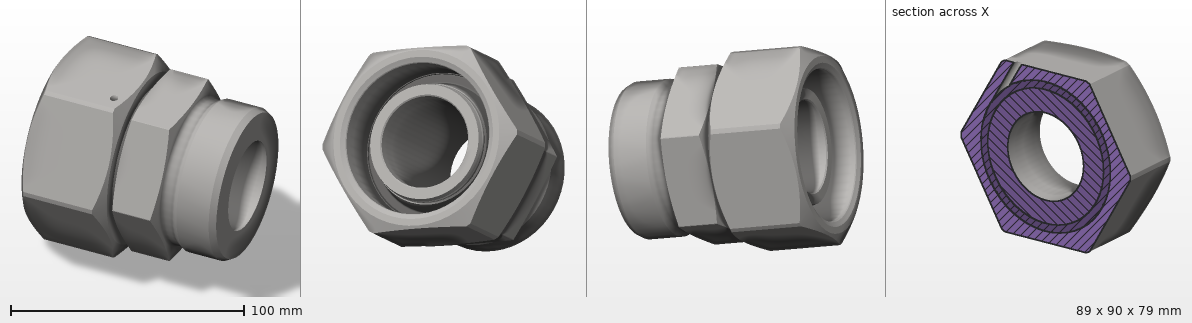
import cadquery as cq
import math

nut_length = 40.1
nut_across_flats = 79.0
nut_corner_diameter = 90.0
nut_face_radius = 38.3
nut_chamfer_angle = 30.0

mouth_radius = 35.4
mouth_mid_radius = 34.3
mouth_inner_radius = 33.3
mouth_mid_depth = 0.6
mouth_inner_depth = 1.2
thread_start_depth = 1.6
thread_radius = 66.0 / 2
swivel_bore_radius = 65.25 / 2

wire_diameter = 3.3
wire_x = 32.9
wire_hole_mouth_diameter = 3.5
wire_hole_mouth_depth = 1.2
wire_hole_tilt = 30.0

bore_radius = 40.0 / 2
bore_chamfer = 0.5
nose_x = 9.2
nose_radius = 50.1 / 2
cone_half_angle = 12.0

collar_x = 25.4
collar_radius = 64.9 / 2
collar_chamfer = 0.45
cone_root_radius = 0.7

hex_start_x = 41.85
hex_end_x = 63.2
hex_across_flats = 70.0
hex_corner_diameter = 80.6
hex_face_radius = 33.75
hex_chamfer_angle = 15.0

neck_radius = 65.0 / 2
neck_fillet_end_x = 64.6
undercut_end_x = 67.9
undercut_cone_x = 68.5
undercut_cone_radius = 32.7
undercut_blend_radius = 1.2
male_start_x = 70.9
male_end_x = 86.1
body_end_x = 89.0
male_radius = 68.0 / 2
male_tip_radius = 65.0 / 2

ring_groove_start_x = 12.0
ring_groove_width = 3.3
ring_section_diameter = ring_groove_width
ring_outer_radius = 25.8

wire_ring_radius = (swivel_bore_radius + collar_radius) / 2


def cone_radius(x):
    return nose_radius + (x - nose_x) * math.tan(math.radians(cone_half_angle))


def revolve_about_x(profile):
    return profile.close().revolve(360, (0, 0, 0), (1, 0, 0))


def cylinder_x(start, end, radius):
    return cq.Workplane("YZ", origin=(start, 0, 0)).circle(radius).extrude(end - start)


def torus_about_x(x, ring_radius, section_diameter):
    section = cq.Workplane("XY").center(x, ring_radius).circle(section_diameter / 2)
    return section.revolve(360, (0, -ring_radius, 0), (1, -ring_radius, 0))


def chamfered_hexagon(start, end, across_flats, corner_diameter, face_radius, angle):
    """Hexagonal prism along X with flats at +Z and -Z, turned to a cone at both ends."""
    prism = cq.Workplane("YZ", origin=(start, 0, 0))
    prism = prism.polygon(6, across_flats / math.cos(math.pi / 6)).extrude(end - start)
    corner_radius = corner_diameter / 2
    cone_length = (corner_radius - face_radius) * math.tan(math.radians(angle))
    envelope = revolve_about_x(
        cq.Workplane("XY")
        .moveTo(start, 0)
        .lineTo(start, face_radius)
        .lineTo(start + cone_length, corner_radius)
        .lineTo(end - cone_length, corner_radius)
        .lineTo(end, face_radius)
        .lineTo(end, 0)
    )
    return prism.intersect(envelope)


def oblique_wire_hole():
    """Stepped hole from the top flat, tangent to the centre line of the wire ring."""
    tilt = math.radians(wire_hole_tilt)
    top_z = nut_across_flats / 2
    entry_y = (top_z * math.sin(tilt) - wire_ring_radius) / math.cos(tilt)
    entry = cq.Vector(wire_x, entry_y, top_z)
    inward = cq.Vector(0, -math.sin(tilt), -math.cos(tilt))
    tangent_length = math.sqrt(entry_y**2 + top_z**2 - wire_ring_radius**2)
    outside = wire_hole_mouth_diameter
    start = entry - inward * outside
    hole = cq.Solid.makeCylinder(wire_diameter / 2, outside + tangent_length, start, inward)
    mouth = cq.Solid.makeCylinder(
        wire_hole_mouth_diameter / 2, outside + wire_hole_mouth_depth, start, inward
    )
    return cq.Workplane(hole).union(cq.Workplane(mouth))


def make_nut():
    nut = chamfered_hexagon(
        0, nut_length, nut_across_flats, nut_corner_diameter, nut_face_radius, nut_chamfer_angle
    )
    bore = revolve_about_x(
        cq.Workplane("XY")
        .lineTo(0, mouth_radius)
        .lineTo(mouth_mid_depth, mouth_mid_radius)
        .lineTo(mouth_inner_depth, mouth_inner_radius)
        .lineTo(thread_start_depth, thread_radius)
        .lineTo(collar_x, thread_radius)
        .lineTo(collar_x, swivel_bore_radius)
        .lineTo(nut_length, swivel_bore_radius)
        .lineTo(nut_length, 0)
    )
    return nut.cut(bore).cut(oblique_wire_hole()).cut(make_wire()).solids()


def make_wire():
    return torus_about_x(wire_x, wire_ring_radius, wire_diameter)


def make_body():
    root_x = collar_x - cone_root_radius
    hex_fillet = hex_face_radius - neck_radius
    turned = revolve_about_x(
        cq.Workplane("XY")
        .moveTo(nose_x, 0)
        .lineTo(nose_x, nose_radius)
        .lineTo(root_x, cone_radius(root_x))
        .radiusArc((collar_x, cone_radius(root_x) + cone_root_radius), -cone_root_radius)
        .lineTo(collar_x, collar_radius - collar_chamfer)
        .lineTo(collar_x + collar_chamfer, collar_radius)
        .lineTo(hex_start_x - hex_fillet, collar_radius)
        .radiusArc((hex_start_x, hex_face_radius), -hex_fillet)
        .lineTo(hex_end_x, hex_face_radius)
        .radiusArc((neck_fillet_end_x, neck_radius), -(neck_fillet_end_x - hex_end_x))
        .lineTo(undercut_end_x, neck_radius)
        .radiusArc((undercut_cone_x, undercut_cone_radius), -undercut_blend_radius)
        .lineTo(male_start_x, male_radius)
        .lineTo(male_end_x, male_radius)
        .lineTo(body_end_x, male_tip_radius)
        .lineTo(body_end_x, 0)
    )
    hexagon = chamfered_hexagon(
        hex_start_x, hex_end_x, hex_across_flats, hex_corner_diameter, hex_face_radius, hex_chamfer_angle
    )
    bore = cylinder_x(nose_x, body_end_x, bore_radius)
    body = turned.union(hexagon).cut(bore)
    body = body.faces("<X").edges(cq.selectors.RadiusNthSelector(0)).chamfer(bore_chamfer)
    return body.cut(ring_groove()).cut(make_wire()).solids()


def ring_groove():
    end = ring_groove_start_x + ring_groove_width
    floor_radius = ring_outer_radius - ring_section_diameter
    outer = cylinder_x(ring_groove_start_x, end, collar_radius)
    return outer.cut(cylinder_x(ring_groove_start_x, end, floor_radius))


def make_o_ring():
    centre_x = ring_groove_start_x + ring_groove_width / 2
    ring_radius = ring_outer_radius - ring_section_diameter / 2
    return torus_about_x(centre_x, ring_radius, ring_section_diameter)


nut = make_nut()
body = make_body()
wire = make_wire()
o_ring = make_o_ring()
result = cq.Compound.makeCompound([nut.val(), body.val(), wire.val(), o_ring.val()])